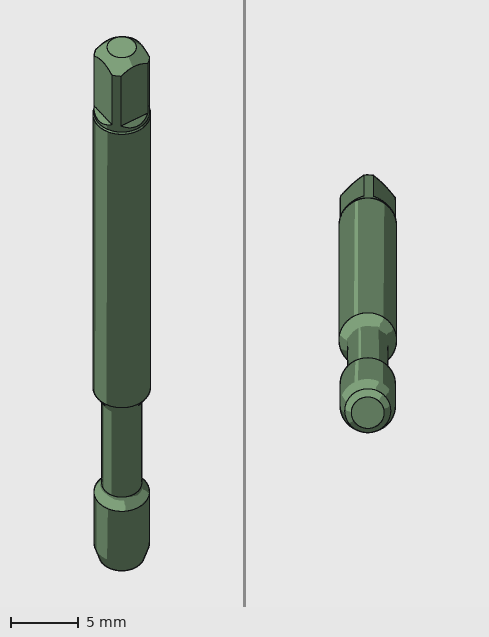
import cadquery as cq

total_length = 54.2

shank_diameter = 4.3
drive_diameter = 4.1
drive_across_flats = 3.35
drive_top_chamfer = 1.0
drive_length = 7.05
shoulder_height = 0.15
run_out_height = (shank_diameter - drive_across_flats) / 2
flat_length = 6.25
neck_diameter = 3.0
neck_fillet_radius = 0.55
shank_bottom = 18.2
taper_bottom = 17.1

head_diameter = 4.1
head_top = 8.1
head_cone_top = 7.9
head_fillet_radius = 0.45
head_shoulder = 7.15
lead_top = 1.75
lead_bottom = 0.5
lead_end_diameter = 3.4
tip_diameter = 2.45


def revolved(profile):
    """Revolve (diameter, height) points, listed bottom to top, about Z."""
    outline = [(diameter / 2, height) for diameter, height in profile]
    outline = [(0, profile[0][1])] + outline + [(0, profile[-1][1])]
    return cq.Workplane("XZ").polyline(outline).close().revolve(360, (0, 0), (0, 1))


def fillet_at(body, height, radius):
    """Round the circular edge of the neck diameter at the given height."""
    margin = 0.05
    slab = cq.selectors.BoxSelector(
        (-shank_diameter, -shank_diameter, height - margin),
        (shank_diameter, shank_diameter, height + margin),
    )
    return body.edges("%CIRCLE").edges(slab).fillet(radius)


def drive_cutter():
    """Material outside the square, with a sloping run-out under each flat."""
    flats_bottom = total_length - flat_length
    stock = (
        cq.Workplane("XY").workplane(offset=flats_bottom - run_out_height)
        .rect(2 * shank_diameter, 2 * shank_diameter).extrude(flat_length + run_out_height)
    )
    square = (
        cq.Workplane("XY").workplane(offset=flats_bottom)
        .rect(drive_across_flats, drive_across_flats).extrude(flat_length)
    )
    run_out_slopes = (
        cq.Workplane("XY").workplane(offset=flats_bottom - run_out_height)
        .rect(shank_diameter, shank_diameter)
        .workplane(offset=run_out_height)
        .rect(drive_across_flats, drive_across_flats).loft()
    )
    return stock.cut(square).cut(run_out_slopes)


def make_shank():
    blank = revolved([
        (neck_diameter, head_top),
        (neck_diameter, taper_bottom),
        (shank_diameter, shank_bottom),
        (shank_diameter, total_length - drive_length),
        (drive_diameter, total_length - drive_length + shoulder_height),
        (drive_diameter, total_length - drive_top_chamfer),
        (drive_diameter - 2 * drive_top_chamfer, total_length),
    ])
    blank = fillet_at(blank, taper_bottom, neck_fillet_radius)
    return blank.cut(drive_cutter())


def make_head():
    head_blank = revolved([
        (tip_diameter, 0),
        (lead_end_diameter, lead_bottom),
        (head_diameter, lead_top),
        (head_diameter, head_shoulder),
        (neck_diameter, head_cone_top),
        (neck_diameter, head_top),
    ])
    return fillet_at(head_blank, head_cone_top, head_fillet_radius)


shank = make_shank()
head = make_head()

result = cq.Compound.makeCompound([shank.val(), head.val()])